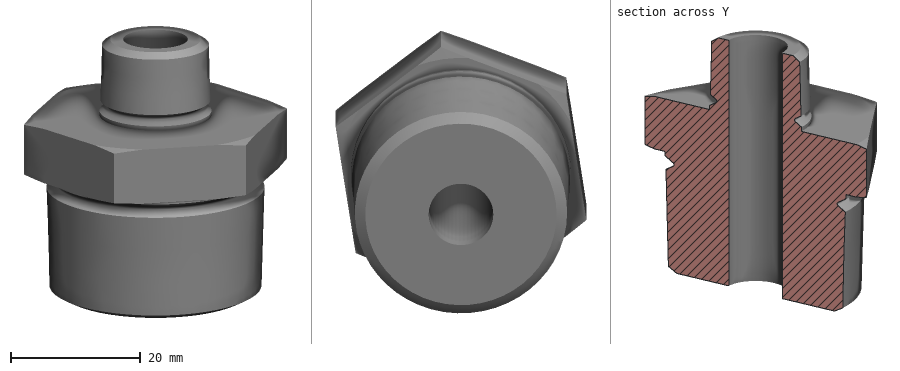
import cadquery as cq
import math

large_start_z = 0.87
large_end_z = 16.75
large_collar_z = 18.95
hex_bottom_z = 19.62
hex_top_z = 28.35
small_collar_z = 29.0
small_end_z = 30.8
small_start_z = 39.65
total_height = 40.5

large_face_radius = 14.75
large_start_radius = 16.38
large_end_radius = 16.85
large_collar_radius = 17.0
small_collar_radius = 8.65
small_end_radius = 8.52
small_start_radius = 8.27
small_face_radius = 7.0
bore_radius = 5.0

hex_corner_diameter = 41.55
hex_face_radius = 18.9
hex_corner_drop = 0.37

groove_flank_angle = math.radians(30)
groove_floor_fillet = 0.3


def groove_floor(lower_radius, lower_z, upper_radius, upper_z):
    """Return start, middle and end (r, z) of the arc tangent to both groove flanks."""
    slope = math.tan(groove_flank_angle)
    apex_radius = (lower_radius + upper_radius - (upper_z - lower_z) / slope) / 2
    apex_z = lower_z + (lower_radius - apex_radius) * slope
    center_radius = apex_radius + groove_floor_fillet / math.sin(groove_flank_angle)
    tangent_radius = center_radius - groove_floor_fillet * math.sin(groove_flank_angle)
    half_height = groove_floor_fillet * math.cos(groove_flank_angle)
    return (
        (tangent_radius, apex_z - half_height),
        (center_radius - groove_floor_fillet, apex_z),
        (tangent_radius, apex_z + half_height),
    )


def make_turned_body():
    """Both tapered thread ends with their grooves and collars, as one revolved solid."""
    large_groove = groove_floor(large_end_radius, large_end_z, large_collar_radius, large_collar_z)
    small_groove = groove_floor(small_collar_radius, small_collar_z, small_end_radius, small_end_z)
    profile = (
        cq.Workplane("XZ")
        .moveTo(0, 0)
        .lineTo(large_face_radius, 0)
        .lineTo(large_start_radius, large_start_z)
        .lineTo(large_end_radius, large_end_z)
        .lineTo(*large_groove[0])
        .threePointArc(*large_groove[1:])
        .lineTo(large_collar_radius, large_collar_z)
        .lineTo(large_collar_radius, hex_bottom_z)
        .lineTo(small_collar_radius, hex_bottom_z)
        .lineTo(small_collar_radius, small_collar_z)
        .lineTo(*small_groove[0])
        .threePointArc(*small_groove[1:])
        .lineTo(small_end_radius, small_end_z)
        .lineTo(small_start_radius, small_start_z)
        .lineTo(small_face_radius, total_height)
        .lineTo(0, total_height)
        .close()
    )
    return profile.revolve(360, (0, 0, 0), (0, 1, 0))


def make_hexagon():
    """Wrench hexagon with corners on X, its corners beveled by cones above and below."""
    corner_radius = hex_corner_diameter / 2
    prism = (
        cq.Workplane("XY", origin=(0, 0, hex_bottom_z))
        .polygon(6, hex_corner_diameter)
        .extrude(hex_top_z - hex_bottom_z)
    )
    bevel_envelope = (
        cq.Workplane("XZ")
        .moveTo(0, hex_bottom_z)
        .lineTo(hex_face_radius, hex_bottom_z)
        .lineTo(corner_radius, hex_bottom_z + hex_corner_drop)
        .lineTo(corner_radius, hex_top_z - hex_corner_drop)
        .lineTo(hex_face_radius, hex_top_z)
        .lineTo(0, hex_top_z)
        .close()
        .revolve(360, (0, 0, 0), (0, 1, 0))
    )
    return prism.intersect(bevel_envelope)


bore = cq.Workplane("XY").circle(bore_radius).extrude(total_height)

result = make_turned_body().union(make_hexagon()).cut(bore)